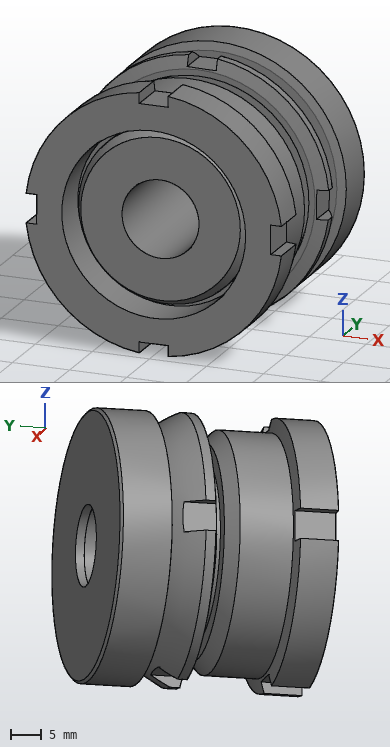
import cadquery as cq

outer_diameter = 45.0
outer_radius = outer_diameter / 2
bore_radius = 6.75
slot_width = 5.05
slot_floor_radius = 20.5
slot_count = 4

flange_edge_y = 6.37
flange_top_y = 7.0
hub_radius = 20.05
hub_top_y = 18.05
hub_chamfer = 2.12
thread_radius = 15.2
counterbore_radius = 16.1
counterbore_depth = 7.0

shank_end_y = 3.0
shank_chamfer_width = 1.2
shank_chamfer_height = 2.12
neck_radius = 13.9
neck_bottom_y = 18.7
neck_flare = 0.3
undercut_radius = neck_radius + neck_flare
undercut_bottom_y = 16.75
collar_bottom_y = 19.95
collar_lower_edge_y = 20.55
collar_bottom_radius = 20.25
collar_recess_radius = 19.15
collar_recess_depth = 0.5
collar_upper_edge_y = 22.2
sphere_center_y = 11.4
sphere_radius = (outer_radius**2 + (collar_upper_edge_y - sphere_center_y) ** 2) ** 0.5
stud_turn = 1.0

disc_bottom_y = 27.85
disc_top_y = 36.9
disc_top_chamfer = 0.45
disc_lower_bevel_height = 0.4
disc_lower_bevel_width = 1.5
tilt_about_z = 0.75
tilt_about_x = -0.38


def sphere_y(radius):
    """Height of the spherical surface at a distance from the Y axis."""
    return sphere_center_y + (sphere_radius**2 - radius**2) ** 0.5


def revolve_profile(profile):
    """Turn a closed XY outline fully about the Y axis."""
    return profile.close().revolve(360, (0, 0, 0), (0, 1, 0))


def cut_slots(body, start_y, end_y):
    """Cut four flat-bottomed spanner slots into the rim."""
    slot_height = outer_radius
    for index in range(slot_count):
        slot = (
            cq.Workplane("XY")
            .box(slot_width, end_y - start_y, slot_height, centered=(True, False, False))
            .translate((0, start_y, slot_floor_radius))
            .rotate((0, 0, 0), (0, 1, 0), index * 360 / slot_count)
        )
        body = body.cut(slot)
    return body


def make_ring():
    ring = revolve_profile(
        cq.Workplane("XY")
        .moveTo(counterbore_radius, 0)
        .lineTo(outer_radius, 0)
        .lineTo(outer_radius, flange_edge_y)
        .lineTo(hub_radius, flange_top_y)
        .lineTo(hub_radius, hub_top_y - hub_chamfer)
        .lineTo(hub_radius - hub_chamfer, hub_top_y)
        .lineTo(thread_radius, hub_top_y)
        .lineTo(thread_radius, counterbore_depth)
        .lineTo(counterbore_radius, counterbore_depth)
    )
    return cut_slots(ring, 0, flange_top_y)


def make_stud():
    recess_top_y = collar_bottom_y + collar_recess_depth
    middle_radius = (bore_radius + outer_radius) / 2
    stud = revolve_profile(
        cq.Workplane("XY")
        .moveTo(bore_radius, shank_end_y)
        .lineTo(thread_radius - shank_chamfer_width, shank_end_y)
        .lineTo(thread_radius, shank_end_y + shank_chamfer_height)
        .lineTo(thread_radius, undercut_bottom_y)
        .lineTo(undercut_radius, undercut_bottom_y)
        .lineTo(undercut_radius, neck_bottom_y - neck_flare)
        .lineTo(neck_radius, neck_bottom_y)
        .lineTo(neck_radius, recess_top_y)
        .lineTo(collar_recess_radius, recess_top_y)
        .lineTo(collar_recess_radius, collar_bottom_y)
        .lineTo(collar_bottom_radius, collar_bottom_y)
        .lineTo(outer_radius, collar_lower_edge_y)
        .lineTo(outer_radius, collar_upper_edge_y)
        .threePointArc((middle_radius, sphere_y(middle_radius)), (bore_radius, sphere_y(bore_radius)))
    )
    stud = cut_slots(stud, collar_bottom_y, disc_bottom_y)
    return stud.rotate((0, 0, 0), (0, 1, 0), stud_turn)


def make_disc():
    seat_radius = (sphere_radius**2 - (disc_bottom_y - sphere_center_y) ** 2) ** 0.5
    middle_radius = (bore_radius + seat_radius) / 2
    disc = revolve_profile(
        cq.Workplane("XY")
        .moveTo(seat_radius, disc_bottom_y)
        .lineTo(outer_radius - disc_lower_bevel_width, disc_bottom_y)
        .lineTo(outer_radius, disc_bottom_y + disc_lower_bevel_height)
        .lineTo(outer_radius, disc_top_y - disc_top_chamfer)
        .lineTo(outer_radius - disc_top_chamfer, disc_top_y)
        .lineTo(bore_radius, disc_top_y)
        .lineTo(bore_radius, sphere_y(bore_radius))
        .threePointArc((middle_radius, sphere_y(middle_radius)), (seat_radius, disc_bottom_y))
    )
    center = cq.Vector(0, sphere_center_y, 0)
    disc = disc.rotate(center, center + cq.Vector(0.45, 0, 0), tilt_about_x)
    return disc.rotate(center, center + cq.Vector(0, 0, 0.45), tilt_about_z)


ring = make_ring()
stud = make_stud()
disc = make_disc()

result = cq.Compound.makeCompound([ring.val(), stud.val(), disc.val()])